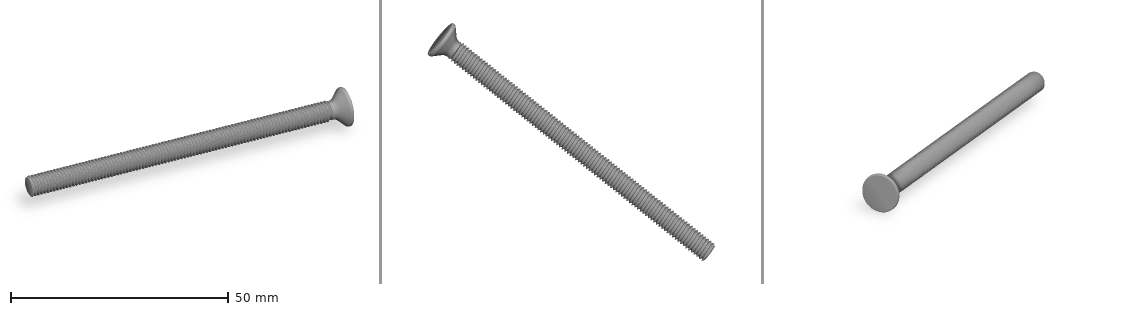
import cadquery as cq
import math

total_length = 80.0
head_diameter = 9.3
rim_height = 0.8
rim_fillet = 0.3
cone_angle = 90.0
neck_fillet = 1.7

major_diameter = 5.0
pitch = 0.8
thread_start = 4.4
flank_half_angle = 30.0
sharp_height = pitch / (2 * math.tan(math.radians(flank_half_angle)))
minor_diameter = major_diameter - 5 / 4 * sharp_height
pitch_diameter = major_diameter - 3 / 4 * sharp_height
crest_width = pitch / 8
thread_phase = 0.53
end_diameter = 4.4
flank_slope = math.tan(math.radians(flank_half_angle))

head_radius = head_diameter / 2
shank_radius = pitch_diameter / 2
core_radius = minor_diameter / 2
crest_radius = major_diameter / 2


def make_head_and_shank():
    """Head and plain shank, revolved about Z, with a rounded rim and a neck blended into the cone."""
    half_angle = math.radians(cone_angle / 2)
    neck_radius = shank_radius + neck_fillet * (1 - math.cos(half_angle))
    neck_start = rim_height + (head_radius - neck_radius) / math.tan(half_angle)
    neck_end = neck_start + neck_fillet * math.sin(half_angle)
    arc_middle = (
        shank_radius + neck_fillet * (1 - math.cos(half_angle / 2)),
        neck_end - neck_fillet * math.sin(half_angle / 2),
    )
    body = (
        cq.Workplane("XZ")
        .lineTo(head_radius, 0)
        .lineTo(head_radius, rim_height)
        .lineTo(neck_radius, neck_start)
        .threePointArc(arc_middle, (shank_radius, neck_end))
        .lineTo(shank_radius, thread_start)
        .lineTo(0, thread_start)
        .close()
        .revolve(360, (0, 0, 0), (0, 1, 0))
    )
    rim_edges = body.edges("%CIRCLE").filter(lambda edge: math.isclose(edge.radius(), head_radius))
    return body.newObject(rim_edges.vals()).fillet(rim_fillet)


def helix_turn(radius, start):
    """One right-hand turn of a helix about Z, beginning on +X at height `start`."""
    return cq.Wire.makeHelix(pitch, pitch, radius, cq.Vector(0, 0, start)).Edges()[0]


def make_threaded_rod():
    """Right-hand threaded rod, sewn from single turns and with a 45 degree chamfer at the point."""
    root_width = pitch - crest_width - 2 * (crest_radius - core_radius) * flank_slope
    flank_width = (pitch - crest_width - root_width) / 2
    first_turn = thread_start - pitch + thread_phase
    turns = math.ceil((total_length - first_turn) / pitch) + 1
    rod_end = first_turn + turns * pitch

    profile = [
        (core_radius, 0),
        (core_radius, root_width),
        (crest_radius, root_width + flank_width),
        (crest_radius, root_width + flank_width + crest_width),
        (core_radius, pitch),
    ]
    faces = []
    for turn in range(turns):
        base = first_turn + turn * pitch
        edges = [helix_turn(radius, base + height) for radius, height in profile]
        faces += [cq.Face.makeRuledSurface(lower, upper) for lower, upper in zip(edges, edges[1:])]

    for base in (first_turn, rod_end):
        axis_edge = cq.Edge.makeLine(cq.Vector(0, 0, base), cq.Vector(0, 0, base + pitch))
        faces.append(cq.Face.makeRuledSurface(axis_edge, helix_turn(core_radius, base)))
        outline = [(0, 0)] + profile + [(0, pitch)]
        points = [cq.Vector(radius, 0, base + height) for radius, height in outline]
        faces.append(cq.Face.makeFromWires(cq.Wire.makePolygon(points, close=True)))

    raw_rod = cq.Solid.makeSolid(cq.Shell.makeShell(faces))
    envelope = (
        cq.Workplane("XY")
        .workplane(offset=thread_start)
        .circle(head_radius)
        .extrude(total_length - thread_start)
        .faces(">Z")
        .chamfer(head_radius - end_diameter / 2)
    )
    return envelope.intersect(cq.Workplane(obj=raw_rod))


screw = make_head_and_shank().union(make_threaded_rod())
result = screw.rotate((0, 0, 0), (1, 0, 0), 90)